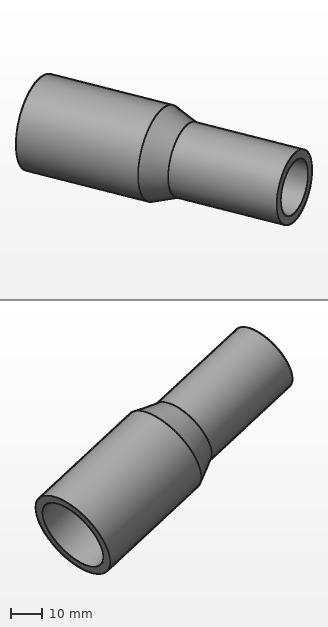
import cadquery as cq

length = 92.0
large_end_length = 44.0
taper_length = 9.0

large_outer_diameter = 32.0
large_bore_diameter = 26.0
small_outer_diameter = 25.0
small_bore_diameter = 19.0

taper_start = -length / 2 + large_end_length
taper_end = taper_start + taper_length


def stepped_body(large_diameter, small_diameter):
    """Solid of revolution about X: large cylinder, cone, small cylinder."""
    large_radius = large_diameter / 2
    small_radius = small_diameter / 2
    return (
        cq.Workplane("XY")
        .moveTo(-length / 2, 0)
        .lineTo(-length / 2, large_radius)
        .lineTo(taper_start, large_radius)
        .lineTo(taper_end, small_radius)
        .lineTo(length / 2, small_radius)
        .lineTo(length / 2, 0)
        .close()
        .revolve(360, (0, 0, 0), (1, 0, 0))
    )


outer_body = stepped_body(large_outer_diameter, small_outer_diameter)
bore = stepped_body(large_bore_diameter, small_bore_diameter)

result = outer_body.cut(bore)